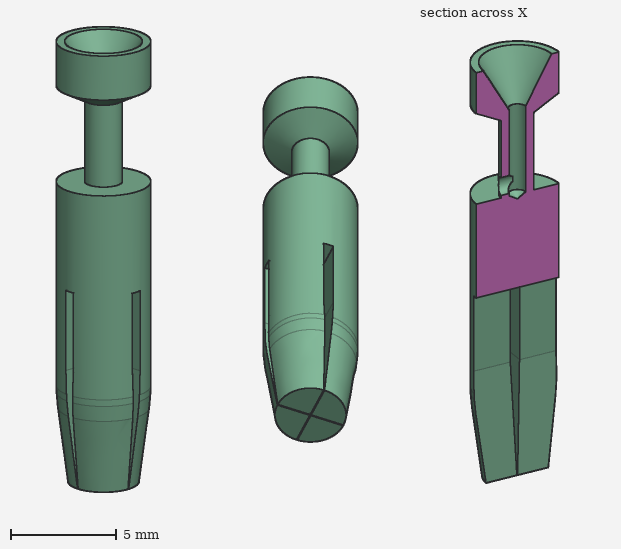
import cadquery as cq
import math

length = 22.0
outer_radius = 2.255

head_height = 2.2
head_cone_height = 0.7
stem_radius = 0.9
funnel_radius = 1.85
funnel_half_angle = math.radians(30)
bore_radius = 0.45
drill_point_half_angle = math.radians(59)
side_hole_radius = 0.46
side_hole_gap = 0.13

body_top = 15.0
lead_in_start = 4.82
bend_start = 4.49
bend_start_radius = 2.25
bend_end = 3.72
bend_end_radius = 2.18
tip_radius = 1.7

slot_top = 9.99
slot_taper_start = 6.0
slot_width = 0.5
slot_tip_width = 0.05

head_bottom = length - head_height
stem_top = head_bottom - head_cone_height
funnel_bottom = length - (funnel_radius - bore_radius) / math.tan(funnel_half_angle)
bore_tip = body_top - bore_radius / math.tan(drill_point_half_angle)
side_hole_height = body_top + side_hole_gap + side_hole_radius


def make_blank():
    """Revolve the outside, with a rounded bend between body and tip."""
    return (
        cq.Workplane("XZ")
        .lineTo(tip_radius, 0)
        .lineTo(bend_end_radius, bend_end)
        .tangentArcPoint((bend_start_radius, bend_start), relative=False)
        .lineTo(outer_radius, lead_in_start)
        .lineTo(outer_radius, body_top)
        .lineTo(stem_radius, body_top)
        .lineTo(stem_radius, stem_top)
        .lineTo(outer_radius, head_bottom)
        .lineTo(outer_radius, length)
        .lineTo(0, length)
        .close()
        .revolve(360, (0, 0, 0), (0, 1, 0))
    )


def make_cup_bore():
    """Funnel mouth leading into a drilled bore with a conical end."""
    return (
        cq.Workplane("XZ")
        .moveTo(0, bore_tip)
        .lineTo(bore_radius, body_top)
        .lineTo(bore_radius, funnel_bottom)
        .lineTo(funnel_radius, length)
        .lineTo(0, length)
        .close()
        .revolve(360, (0, 0, 0), (0, 1, 0))
    )


def make_side_hole():
    """Inspection hole from the +Y side of the stem into the bore."""
    return (
        cq.Workplane("XZ")
        .center(0, side_hole_height)
        .circle(side_hole_radius)
        .extrude(-outer_radius)
    )


def make_slot(plane):
    """Slot through the full body thickness, open at the tip."""
    return (
        cq.Workplane(plane)
        .moveTo(-slot_tip_width / 2, 0)
        .lineTo(slot_tip_width / 2, 0)
        .lineTo(slot_width / 2, slot_taper_start)
        .lineTo(slot_width / 2, slot_top)
        .lineTo(-slot_width / 2, slot_top)
        .lineTo(-slot_width / 2, slot_taper_start)
        .close()
        .extrude(outer_radius, both=True)
    )


result = make_blank().cut(make_cup_bore()).cut(make_side_hole())
for slot_plane in ("XZ", "YZ"):
    result = result.cut(make_slot(slot_plane))